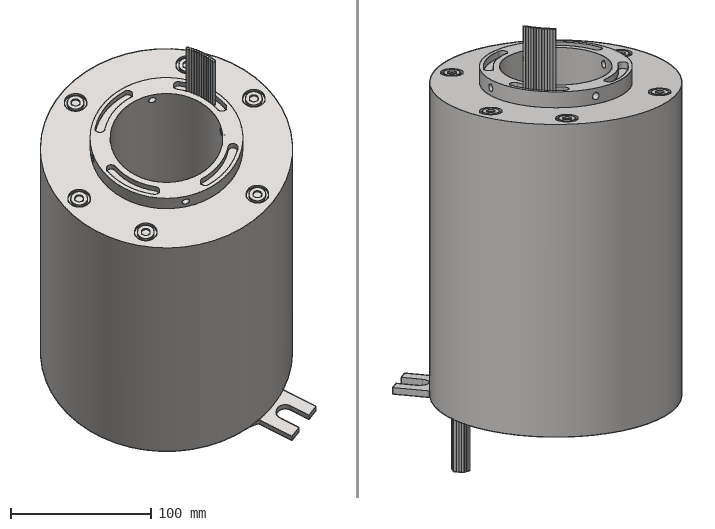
import cadquery as cq
import math

overall_height = 334.5
body_diameter = 180.0
body_height = 236.8
body_bottom = 40.0
body_top = body_bottom + body_height
collar_diameter = 109.0
collar_height = 12.0
collar_top = body_top + collar_height
bore_diameter = 80.3

set_screw_diameter = 5.5
set_screw_count = 4
set_screw_first_angle = 47.2

slot_radius = 48.2
slot_width = 7.0
slot_half_angle = 22.4
slot_depth = 5.0
slot_count = 4

screw_circle_radius = 77.0
screw_side_angle = 68.5
screw_angles = [
    0,
    screw_side_angle,
    180 - screw_side_angle,
    180,
    180 + screw_side_angle,
    360 - screw_side_angle,
]
counterbore_diameter = 16.0
counterbore_depth = 2.0
screw_head_diameter = 12.0
screw_recess_diameter = 6.5
screw_recess_depth = 1.5

fork_thickness = 5.0
fork_tip_x = 116.5
fork_root_x = 68.0
fork_arm_width = 32.0
fork_shoulder_x = 88.0
fork_flank_angle = 30.0
fork_peak_x = 81.5
fork_corner_radius = 3.0
fork_slot_width = 13.0
fork_slot_end_x = 94.0

wire_diameter = 2.07
upper_wire_pitch = 2.0
upper_wire_count = 12
upper_row_middle_x = -1.0
bundle_x = 53.0
bundle_y = 62.5
bundle_pitch = 1.9
bundle_rings = 3


def cylinder(diameter, bottom, height, x=0.0, y=0.0):
    """Upright cylinder standing on the given height."""
    return cq.Workplane("XY", origin=(x, y, bottom)).circle(diameter / 2).extrude(height)


def on_circle(radius, angle):
    """Point on a circle about the main axis."""
    turn = math.radians(angle)
    return radius * math.cos(turn), radius * math.sin(turn)


def curved_slot(middle_angle):
    """Cutter for one arc slot with round ends, open at the collar top."""
    inner = slot_radius - slot_width / 2
    outer = slot_radius + slot_width / 2
    start = middle_angle - slot_half_angle
    end = middle_angle + slot_half_angle
    cap_turn = math.degrees(slot_width / 2 / slot_radius)
    return (
        cq.Workplane("XY", origin=(0, 0, collar_top - slot_depth))
        .moveTo(*on_circle(inner, start))
        .threePointArc(on_circle(inner, middle_angle), on_circle(inner, end))
        .threePointArc(on_circle(slot_radius, end + cap_turn), on_circle(outer, end))
        .threePointArc(on_circle(outer, middle_angle), on_circle(outer, start))
        .threePointArc(on_circle(slot_radius, start - cap_turn), on_circle(inner, start))
        .close()
        .extrude(slot_depth)
    )


def set_screw_hole(angle):
    """Cutter for one radial hole from the bore out through the collar wall."""
    return (
        cq.Workplane("YZ")
        .center(0, body_top + collar_height / 2)
        .circle(set_screw_diameter / 2)
        .extrude(collar_diameter)
        .rotate((0, 0, 0), (0, 0, 1), angle)
    )


def add_sunk_screw(solid, angle):
    """Counterbore holding a flush screw head with a round recess."""
    x, y = on_circle(screw_circle_radius, angle)
    floor = body_top - counterbore_depth
    head = cylinder(screw_head_diameter, floor, counterbore_depth, x, y)
    recess = cylinder(screw_recess_diameter, body_top - screw_recess_depth, screw_recess_depth, x, y)
    pocket = cylinder(counterbore_diameter, floor, counterbore_depth, x, y)
    return solid.cut(pocket).union(head.cut(recess))


def make_fork():
    """Plate with a wide rounded root and an open-ended slot in its arm."""
    slope = math.tan(math.radians(fork_flank_angle))
    arm_y = fork_arm_width / 2
    peak_y = arm_y + (fork_shoulder_x - fork_peak_x) / slope
    root_y = peak_y - (fork_peak_x - fork_root_x) * slope
    upper_edge = [
        (fork_root_x, root_y),
        (fork_peak_x, peak_y),
        (fork_shoulder_x, arm_y),
        (fork_tip_x, arm_y),
    ]
    lower_edge = [(x, -y) for x, y in reversed(upper_edge)]
    bottom = body_bottom - fork_thickness
    plate = cq.Workplane("XY", origin=(0, 0, bottom)).polyline(upper_edge + lower_edge).close()
    plate = plate.extrude(fork_thickness)
    plate = plate.edges("|Z").edges("not >X").fillet(fork_corner_radius)

    slot_middle_x = fork_slot_end_x + fork_slot_width / 2
    slot_end = cylinder(fork_slot_width, bottom, fork_thickness, slot_middle_x)
    slot_run = cq.Workplane("XY", origin=(slot_middle_x, 0, bottom)).box(
        fork_tip_x - slot_middle_x, fork_slot_width, fork_thickness, centered=(False, True, False)
    )
    return plate.cut(slot_end).cut(slot_run)


def upper_wires():
    """Row of joined wires standing on the floor of the rear collar slot."""
    bottom = collar_top - slot_depth
    row = cq.Workplane("XY")
    for index in range(upper_wire_count):
        along = upper_row_middle_x + (index - (upper_wire_count - 1) / 2) * upper_wire_pitch
        x, y = on_circle(slot_radius, 90 - math.degrees(along / slot_radius))
        row = row.union(cylinder(wire_diameter, bottom, overall_height - bottom, x, y))
    return row


def lower_bundle():
    """Hexagonal bundle of joined wires hanging below the body."""
    bundle = cq.Workplane("XY")
    for row in range(-bundle_rings, bundle_rings + 1):
        y = bundle_y + row * bundle_pitch * math.sin(math.radians(60))
        count = 2 * bundle_rings + 1 - abs(row)
        for index in range(count):
            x = bundle_x + (index - (count - 1) / 2) * bundle_pitch
            bundle = bundle.union(cylinder(wire_diameter, 0, body_bottom, x, y))
    return bundle


housing = cylinder(body_diameter, body_bottom, body_height)
housing = housing.union(cylinder(collar_diameter, body_top, collar_height))
housing = housing.cut(cylinder(bore_diameter, body_bottom, collar_top - body_bottom))

for number in range(slot_count):
    housing = housing.cut(curved_slot(number * 360 / slot_count))
for number in range(set_screw_count):
    housing = housing.cut(set_screw_hole(set_screw_first_angle + number * 360 / set_screw_count))
for screw_angle in screw_angles:
    housing = add_sunk_screw(housing, screw_angle)

result = housing.union(make_fork()).union(upper_wires()).union(lower_bundle())